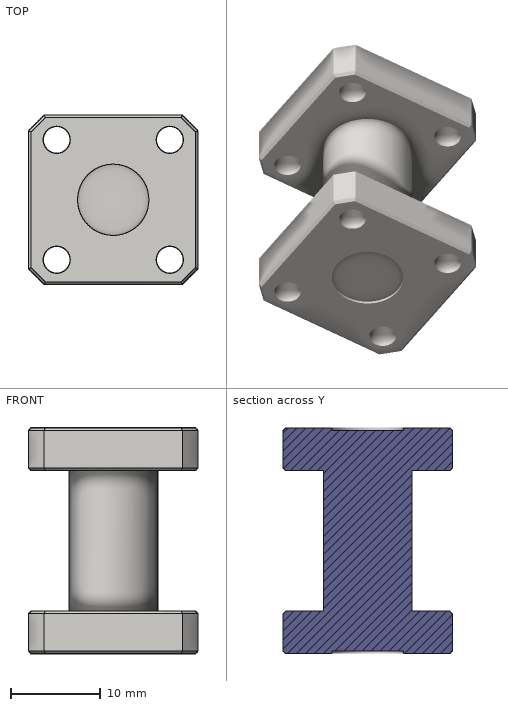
import cadquery as cq

height = 25.4
flange_width = 19.05
flange_thickness = 4.83
corner_chamfer = 1.78
edge_chamfer = 0.3
post_diameter = 10.0

hole_diameter = 3.0
hole_spacing_x = 12.7
hole_spacing_y = 13.45

recess_diameter = 8.0
recess_depth = 0.3


def make_flange(bottom_z):
    """Square flange with cut corners, bevelled rims and four through holes."""
    plate = (
        cq.Workplane("XY", origin=(0, 0, bottom_z))
        .rect(flange_width, flange_width)
        .extrude(flange_thickness)
        .edges("|Z")
        .chamfer(corner_chamfer)
        .faces("<Z or >Z")
        .edges()
        .chamfer(edge_chamfer)
    )
    holes = (
        cq.Workplane("XY", origin=(0, 0, bottom_z))
        .rect(hole_spacing_x, hole_spacing_y, forConstruction=True)
        .vertices()
        .circle(hole_diameter / 2)
        .extrude(flange_thickness)
    )
    return plate.cut(holes)


def make_recess(bottom_z):
    """Disc removed from an outer face."""
    return (
        cq.Workplane("XY", origin=(0, 0, bottom_z))
        .circle(recess_diameter / 2)
        .extrude(recess_depth)
    )


post_length = height - 2 * flange_thickness
post = (
    cq.Workplane("XY", origin=(0, 0, flange_thickness))
    .circle(post_diameter / 2)
    .extrude(post_length)
)

result = post
for flange_bottom in (0, height - flange_thickness):
    result = result.union(make_flange(flange_bottom))

for recess_bottom in (0, height - recess_depth):
    result = result.cut(make_recess(recess_bottom))